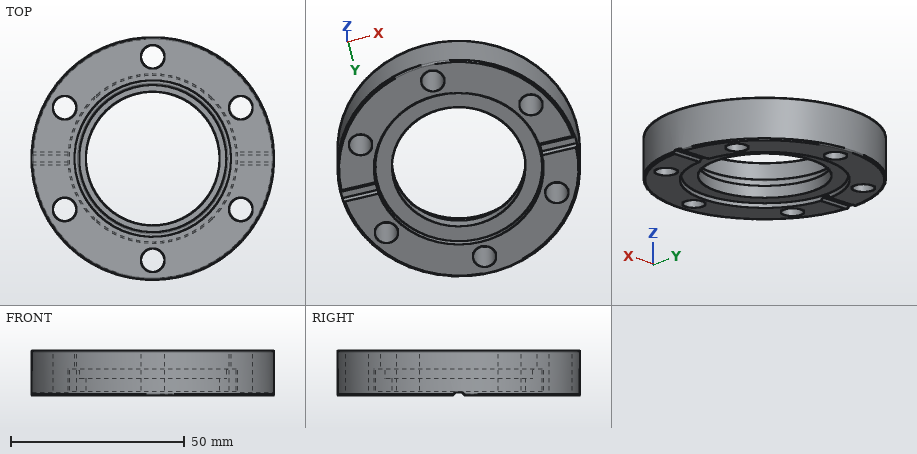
import cadquery as cq

outer_diameter = 70.0
height = 13.0
edge_fillet = 0.5
ring_bore_diameter = 45.15
seat_diameter = 48.9
shoulder_depth = 5.4
seat_height = height - shoulder_depth

bolt_count = 6
bolt_circle_diameter = 58.65
bolt_hole_diameter = 6.7
first_bolt_angle = 90.0

groove_depth = 0.85
groove_mouth_width = 3.8
groove_floor_width = groove_mouth_width - 2 * groove_depth

insert_diameter = 48.1
insert_bottom = 1.25
insert_bore_diameter = 38.5
recess_diameter = 42.4
recess_depth = 2.7
recess_rim_radius = 0.5


def bolt_holes():
    """Evenly spaced through-hole cutters on the bolt circle."""
    return (
        cq.Workplane("XY")
        .polarArray(bolt_circle_diameter / 2, first_bolt_angle, 360, bolt_count)
        .circle(bolt_hole_diameter / 2)
        .extrude(height)
    )


def leak_groove():
    """Trapezoidal cutter along X, widest at the bottom face."""
    return (
        cq.Workplane("YZ")
        .polyline([
            (-groove_mouth_width / 2, 0),
            (groove_mouth_width / 2, 0),
            (groove_floor_width / 2, groove_depth),
            (-groove_floor_width / 2, groove_depth),
        ])
        .close()
        .extrude(outer_diameter / 2, both=True)
    )


def make_ring():
    """Outer ring with a shouldered bore, bolt holes and leak grooves."""
    blank = cq.Workplane("XY").circle(outer_diameter / 2).extrude(height)
    blank = blank.edges().fillet(edge_fillet)
    bore = cq.Workplane("XY").circle(ring_bore_diameter / 2).extrude(height)
    seat = cq.Workplane("XY").circle(seat_diameter / 2).extrude(seat_height)
    return blank.cut(bore).cut(seat).cut(bolt_holes()).cut(leak_groove())


def make_insert():
    """Flat insert with a stepped bore whose upper rim is rounded."""
    bore_radius = insert_bore_diameter / 2
    recess_radius = recess_diameter / 2
    insert_radius = insert_diameter / 2
    recess_floor = seat_height - recess_depth
    half_section = (
        cq.Workplane("XZ")
        .polyline([
            (bore_radius, insert_bottom),
            (insert_radius, insert_bottom),
            (insert_radius, seat_height),
            (recess_radius + recess_rim_radius, seat_height),
        ])
        .radiusArc((recess_radius, seat_height - recess_rim_radius), -recess_rim_radius)
        .lineTo(recess_radius, recess_floor)
        .lineTo(bore_radius, recess_floor)
        .close()
    )
    return half_section.revolve(360, (0, 0, 0), (0, 1, 0))


ring = make_ring()
insert = make_insert()
result = cq.Compound.makeCompound([ring.val(), insert.val()])